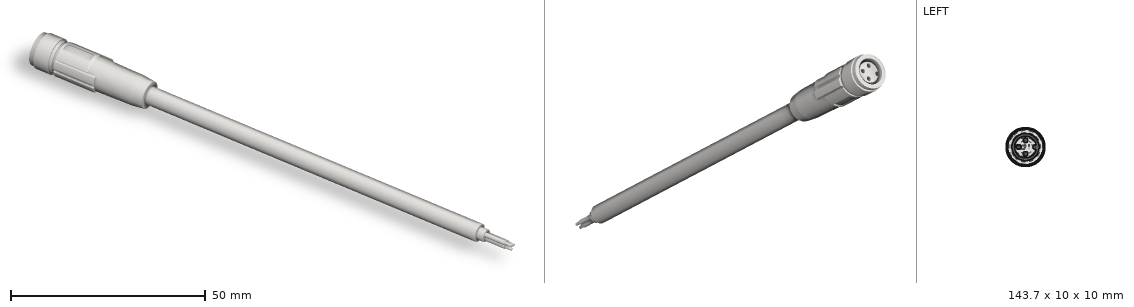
import cadquery as cq
import math


CABLE_LENGTH = 100.0
CORE_LENGTH = 2.0
WIRE_LENGTH = 6.0
CONDUCTOR_LENGTH = 2.0
LIP_END = 1.5
RING_END = 5.8
COLLAR_END = 6.7
GRIP_START = 7.5
SHELL_END = 17.2
SHELL_BEVEL_LENGTH = 0.5
PAD_END = 19.7
BODY_END = 30.0
HOUSING_END = 33.7
CABLE_END = HOUSING_END + CABLE_LENGTH
CORE_END = CABLE_END + CORE_LENGTH
WIRE_END = CORE_END + WIRE_LENGTH
TOTAL_LENGTH = WIRE_END + CONDUCTOR_LENGTH

RING_RADIUS = 5.0
LIP_RADIUS = 4.6
COLLAR_RADIUS = 4.65
NECK_RADIUS = 4.35
SHELL_RADIUS = 4.75
BODY_FRONT_RADIUS = 4.45
BODY_REAR_RADIUS = 4.2
TAIL_RADIUS = 3.8
CABLE_RADIUS = 2.5
CORE_RADIUS = 1.75

SOCKET_RADIUS = 3.5
SOCKET_DEPTH = 5.0
INSERT_RADIUS = 2.8
INSERT_RECESS = 0.8
CONTACT_HOLE_RADIUS = 0.6
CONTACT_OFFSET = 1.75
KEY_OFFSET = 2.6
KEY_RADIUS = 0.65

PAD_HALF_HEIGHT = 2.55
PAD_ROOT_Y = 3.0
SHELL_GAP_HALF_HEIGHT = 2.9
GROOVE_HALF_WIDTH = 0.65
GROOVE_FLOOR_HALF_WIDTH = 0.25
GROOVE_DEPTH = 0.4
WINDOW_START = 8.1
WINDOW_END = 16.3
WINDOW_WIDTH = 2.6
WINDOW_CORNER_RADIUS = 0.5
WINDOW_FLOOR = 4.3

WIRE_COUNT = 3
WIRE_RADIUS = 0.62
WIRE_PITCH_RADIUS = 0.72
CONDUCTOR_RADIUS = 0.4


def rod(x_start, x_end, radius, y=0.0, z=0.0):
    """Cylinder along X."""
    plane = cq.Plane(origin=(x_start, y, z), xDir=(0, -1, 0), normal=(1, 0, 0))
    return cq.Workplane(plane).circle(radius).extrude(x_end - x_start)


def turned(stations):
    """Solid of revolution about X; each station is an (x, radius) point of its outline."""
    outline = [(stations[0][0], 0.0)] + stations + [(stations[-1][0], 0.0)]
    return cq.Workplane("XZ").polyline(outline).close().revolve(360.0, (0, 0, 0), (1, 0, 0))


def make_housing():
    """Locking ring, collar, neck and tapered body of the connector."""
    front = turned(
        [
            (0.0, LIP_RADIUS),
            (LIP_END, LIP_RADIUS),
            (LIP_END, RING_RADIUS),
            (RING_END, RING_RADIUS),
            (RING_END, COLLAR_RADIUS),
            (COLLAR_END, COLLAR_RADIUS),
            (COLLAR_END, NECK_RADIUS),
            (GRIP_START, NECK_RADIUS),
            (GRIP_START, BODY_FRONT_RADIUS),
            (SHELL_END, BODY_FRONT_RADIUS),
            (BODY_END, BODY_REAR_RADIUS),
        ],
    )
    tail = turned([(BODY_END, BODY_REAR_RADIUS), (HOUSING_END, TAIL_RADIUS)])
    return front.union(tail)


def make_shell():
    """Upper and lower halves of the grip shell, parted on both sides to leave room for the pads."""
    shell = turned(
        [
            (GRIP_START, SHELL_RADIUS),
            (SHELL_END - SHELL_BEVEL_LENGTH, SHELL_RADIUS),
            (SHELL_END, BODY_FRONT_RADIUS),
        ],
    )
    side_gap = cq.Workplane("XY").box(2 * SHELL_END, 2 * RING_RADIUS, 2 * SHELL_GAP_HALF_HEIGHT)
    return shell.cut(side_gap)


def make_pad(side):
    """Raised grip pad with a groove along its middle, on the -Y (side -1) or +Y (side 1) flank."""
    crest_y = side * RING_RADIUS
    floor_y = side * (RING_RADIUS - GROOVE_DEPTH)
    root_y = side * PAD_ROOT_Y
    bar = (
        cq.Workplane("YZ", origin=(GRIP_START, 0, 0))
        .polyline(
            [
                (root_y, -PAD_HALF_HEIGHT),
                (crest_y, -PAD_HALF_HEIGHT),
                (crest_y, -GROOVE_HALF_WIDTH),
                (floor_y, -GROOVE_FLOOR_HALF_WIDTH),
                (floor_y, GROOVE_FLOOR_HALF_WIDTH),
                (crest_y, GROOVE_HALF_WIDTH),
                (crest_y, PAD_HALF_HEIGHT),
                (root_y, PAD_HALF_HEIGHT),
            ]
        )
        .close()
        .extrude(PAD_END - GRIP_START)
    )
    return bar.intersect(rod(GRIP_START, PAD_END, RING_RADIUS))


def make_window(side):
    """Space of the flat-bottomed recess in the lower (side -1) or upper (side 1) half of the shell."""
    length = WINDOW_END - WINDOW_START
    height = RING_RADIUS - WINDOW_FLOOR
    return (
        cq.Workplane("XY")
        .box(length, WINDOW_WIDTH, height)
        .edges("|Z")
        .fillet(WINDOW_CORNER_RADIUS)
        .translate((WINDOW_START + length / 2, 0, side * (WINDOW_FLOOR + height / 2)))
    )


def make_socket():
    """Space removed from the front face: bore around a recessed insert with three contacts and a key."""
    socket = rod(0, SOCKET_DEPTH, SOCKET_RADIUS).cut(rod(INSERT_RECESS, SOCKET_DEPTH, INSERT_RADIUS))
    for y, z in ((CONTACT_OFFSET, 0), (0, CONTACT_OFFSET), (0, -CONTACT_OFFSET)):
        socket = socket.union(rod(0, SOCKET_DEPTH, CONTACT_HOLE_RADIUS, y, z))
    return socket.union(rod(0, SOCKET_DEPTH, KEY_RADIUS, y=-KEY_OFFSET))


def make_cable():
    """Cable jacket, inner core, and three wires with bare conductor ends."""
    cable = rod(BODY_END, CABLE_END, CABLE_RADIUS)
    cable = cable.union(rod(CABLE_END, CORE_END, CORE_RADIUS))
    for index in range(WIRE_COUNT):
        angle = 2 * math.pi * index / WIRE_COUNT
        y = WIRE_PITCH_RADIUS * math.cos(angle)
        z = WIRE_PITCH_RADIUS * math.sin(angle)
        cable = cable.union(rod(CORE_END, WIRE_END, WIRE_RADIUS, y, z))
        cable = cable.union(rod(WIRE_END, TOTAL_LENGTH, CONDUCTOR_RADIUS, y, z))
    return cable


housing = make_housing().union(make_shell())
for flank in (-1, 1):
    housing = housing.union(make_pad(flank)).cut(make_window(flank))
result = housing.cut(make_socket()).union(make_cable())